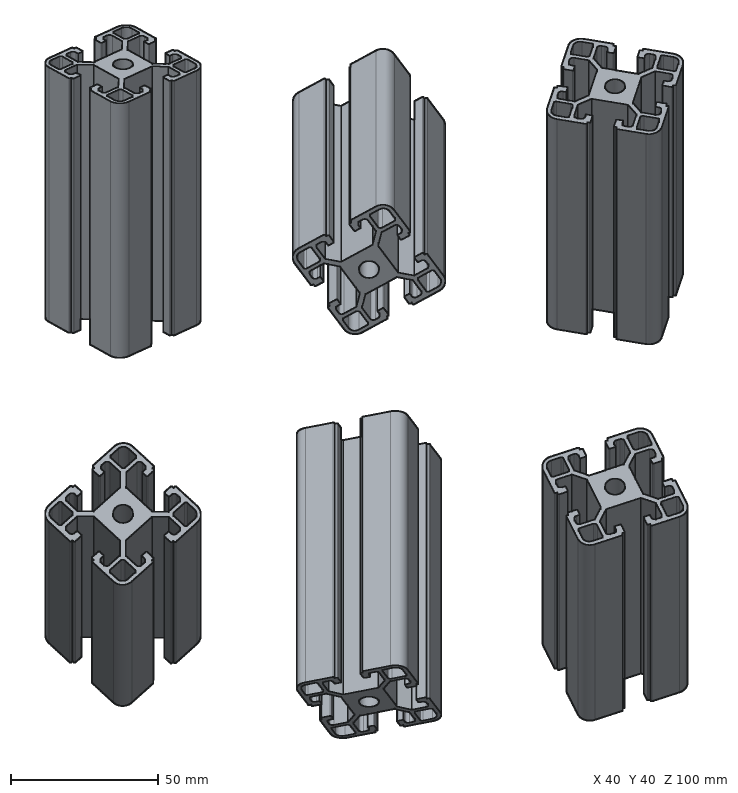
import cadquery as cq

side = 40.0
length = 100.0
half_side = side / 2
corner_radius = 4.5

half_core = 7.7
bore_diameter = 6.8

mouth_half_width = 4.1
step_half_width = 5.1
step_depth = 0.9
lip_thickness = 2.4
lip_depth = 4.5
pocket_half_width = 10.25
pocket_depth = 2.0
pocket_radius = 1.25
lip_radius = 0.3
slot_overshoot = 1.0

web_offset = 1.35

outer_wall = 1.6
inner_wall = 1.5
chamber_inner_radius = 1.0
chamber_side_radius = 0.7
chamber_outer_radius = 2.5


def make_body():
    body = cq.Workplane("XY").rect(side, side).extrude(length)
    return body.edges("|Z").fillet(corner_radius)


def round_upright_edge(solid, x, y, radius):
    upright_edge = solid.edges("|Z").edges(cq.NearestToPointSelector((x, y, length / 2)))
    return upright_edge.fillet(radius)


def make_slot():
    """Cutter for the T-slot that opens on the +Y side."""
    pocket_top = half_side - pocket_depth
    lip_end = half_side - lip_depth
    step_floor = half_side - step_depth
    lip_back = mouth_half_width + lip_thickness
    web_foot = half_core - web_offset
    web_top = pocket_half_width + web_offset

    half_outline = [
        (0, half_core),
        (web_foot, half_core),
        (pocket_half_width, web_top),
        (pocket_half_width, pocket_top),
        (lip_back, pocket_top),
        (lip_back, lip_end),
        (mouth_half_width, lip_end),
        (mouth_half_width, step_floor),
        (step_half_width, step_floor),
        (step_half_width, half_side),
        (step_half_width + slot_overshoot, half_side),
        (step_half_width + slot_overshoot, half_side + slot_overshoot),
        (0, half_side + slot_overshoot),
    ]
    half_slot = cq.Workplane("XY").polyline(half_outline).close().extrude(length)

    for x in (lip_back, pocket_half_width):
        half_slot = round_upright_edge(half_slot, x, pocket_top, pocket_radius)
    lip_corners = [
        (mouth_half_width, lip_end),
        (mouth_half_width, step_floor),
        (step_half_width, half_side),
    ]
    for x, y in lip_corners:
        half_slot = round_upright_edge(half_slot, x, y, lip_radius)
    return half_slot.union(half_slot.mirror("YZ"))


def make_chamber():
    """Cutter for the closed chamber in the +X +Y corner."""
    inner_edge = pocket_half_width + inner_wall
    outer_edge = half_side - outer_wall
    size = outer_edge - inner_edge
    centre = (outer_edge + inner_edge) / 2
    chamber = cq.Workplane("XY").center(centre, centre).rect(size, size).extrude(length)
    chamber = round_upright_edge(chamber, inner_edge, inner_edge, chamber_inner_radius)
    chamber = round_upright_edge(chamber, outer_edge, outer_edge, chamber_outer_radius)
    chamber = round_upright_edge(chamber, inner_edge, outer_edge, chamber_side_radius)
    return round_upright_edge(chamber, outer_edge, inner_edge, chamber_side_radius)


def cut_four_times(body, cutter):
    for quarter in range(4):
        body = body.cut(cutter.rotate((0, 0, 0), (0, 0, 1), 90 * quarter))
    return body


result = make_body()
result = cut_four_times(result, make_slot())
result = cut_four_times(result, make_chamber())
result = result.faces(">Z").workplane(origin=(0, 0, length)).hole(bore_diameter)